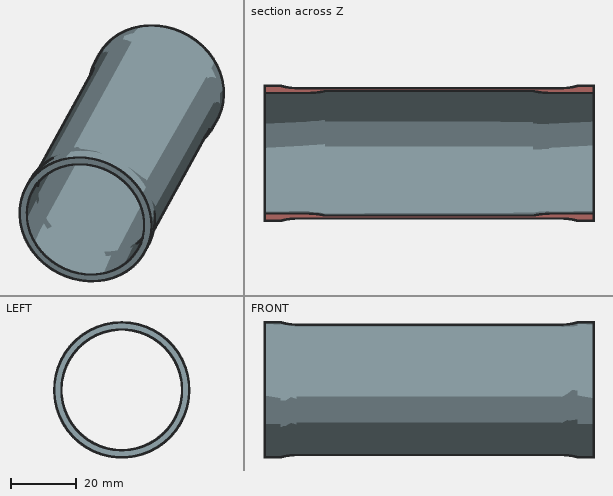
import cadquery as cq

length = 100.0
collar_diameter = 41.1
body_diameter = 39.7
end_bore_diameter = 36.6
mid_bore_diameter = 37.7
collar_length = 4.9
flare_length = 4.8
end_bore_length = 13.6
bore_taper_length = 4.8

half_length = length / 2
collar_radius = collar_diameter / 2
body_radius = body_diameter / 2
end_bore_radius = end_bore_diameter / 2
mid_bore_radius = mid_bore_diameter / 2

collar_inner_x = half_length - collar_length
flare_inner_x = collar_inner_x - flare_length
end_bore_inner_x = half_length - end_bore_length
mid_bore_x = end_bore_inner_x - bore_taper_length


flare_height = collar_radius - body_radius
flare_arc_radius = (flare_length**2 + flare_height**2) / (2 * flare_height)


def make_outer_body():
    """Solid of revolution: body, flares and collars."""
    return (
        cq.Workplane("XZ")
        .moveTo(-half_length, 0)
        .lineTo(-half_length, collar_radius)
        .lineTo(-collar_inner_x, collar_radius)
        .radiusArc((-flare_inner_x, body_radius), -flare_arc_radius)
        .lineTo(flare_inner_x, body_radius)
        .radiusArc((collar_inner_x, collar_radius), -flare_arc_radius)
        .lineTo(half_length, collar_radius)
        .lineTo(half_length, 0)
        .close()
        .revolve(360, (0, 0, 0), (1, 0, 0))
    )


def make_bore():
    """Through bore, tapering out to a wider middle section."""
    return (
        cq.Workplane("XZ")
        .moveTo(-half_length, 0)
        .lineTo(-half_length, -end_bore_radius)
        .lineTo(-end_bore_inner_x, -end_bore_radius)
        .lineTo(-mid_bore_x, -mid_bore_radius)
        .lineTo(mid_bore_x, -mid_bore_radius)
        .lineTo(end_bore_inner_x, -end_bore_radius)
        .lineTo(half_length, -end_bore_radius)
        .lineTo(half_length, 0)
        .close()
        .revolve(360, (0, 0, 0), (1, 0, 0))
    )


result = make_outer_body().cut(make_bore())